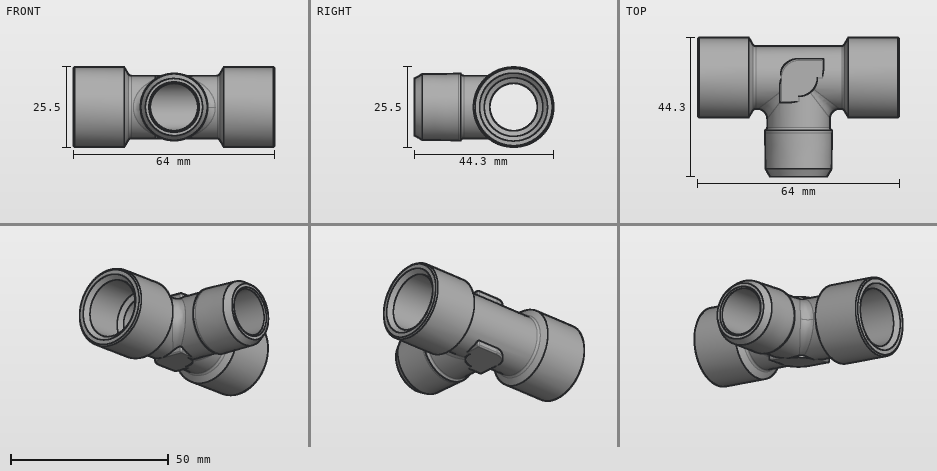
import cadquery as cq
import math

run_half_length = 32.0
tube_radius = 10.0
socket_radius = 12.75
socket_length = 16.2
shoulder_angle = 60.0
socket_edge_chamfer = 0.5

branch_length = 31.5
spigot_radius = 10.7
spigot_start = 16.8
spigot_taper_start = 17.6
spigot_taper = 1 / 64
spigot_tip_length = 2.5
spigot_tip_angle = 30.0

shoulder_root_radius = 1.0
crotch_radius = 3.0
hub_radius = 5.0

bore_radius = 7.5
bore_mouth_chamfer = 0.5
thread_bore_radius = 9.3
thread_bore_depth = 15.0
thread_mouth_chamfer = 1.5
thread_bore_cone_angle = 60.0

pad_radius = 6.0
pad_reach = 8.0
pad_edge_radius = 0.5
pad_depth = 4.0

position_tolerance = 0.01


def tan_degrees(angle):
    return math.tan(math.radians(angle))


def mirrored_about_middle(half):
    """Completes a symmetric run profile from the (x, radius) points of its +X half."""
    return [(-x, radius) for x, radius in reversed(half)] + half


def revolve_x(points):
    """Solid of revolution about X from (x, radius) points that start and end on the axis."""
    return cq.Workplane("XY").polyline(points).close().revolve(360, (0, 0, 0), (1, 0, 0))


def revolve_branch(points):
    """Solid of revolution about Y from (distance along -Y, radius) points."""
    outline = [(radius, -distance) for distance, radius in points]
    return cq.Workplane("XY").polyline(outline).close().revolve(360, (0, 0, 0), (0, 1, 0))


def circles_between(solid, axis, low, high):
    """Selects the circular edges of a solid of revolution between two positions along its axis."""
    edges = [
        edge for edge in solid.edges("%CIRCLE").vals()
        if low - position_tolerance < edge.Center().dot(axis) < high + position_tolerance
    ]
    return solid.newObject(edges)


def make_run():
    """Solid run: the tube with a socket at each end and rounded shoulder roots."""
    shoulder_end = run_half_length - socket_length
    shoulder_start = shoulder_end - (socket_radius - tube_radius) / tan_degrees(shoulder_angle)
    half = [
        (shoulder_start, tube_radius),
        (shoulder_end, socket_radius),
        (run_half_length - socket_edge_chamfer, socket_radius),
        (run_half_length, socket_radius - socket_edge_chamfer),
        (run_half_length, 0),
    ]
    run = revolve_x(mirrored_about_middle(half))
    roots = circles_between(run, cq.Vector(1, 0, 0), -shoulder_start, shoulder_start)
    return roots.fillet(shoulder_root_radius)


def make_branch():
    """Solid branch: the tube with a tapered spigot and a rounded shoulder root."""
    shoulder_start = spigot_start - (spigot_radius - tube_radius) / tan_degrees(shoulder_angle)
    tip_start = branch_length - spigot_tip_length
    tip_start_radius = spigot_radius - (tip_start - spigot_taper_start) * spigot_taper
    tip_end_radius = tip_start_radius - spigot_tip_length * tan_degrees(spigot_tip_angle)
    profile = [
        (0, 0),
        (0, tube_radius),
        (shoulder_start, tube_radius),
        (spigot_start, spigot_radius),
        (spigot_taper_start, spigot_radius),
        (tip_start, tip_start_radius),
        (branch_length, tip_end_radius),
        (branch_length, 0),
    ]
    branch = revolve_branch(profile)
    root = circles_between(branch, cq.Vector(0, 1, 0), -shoulder_start, -shoulder_start)
    return root.fillet(shoulder_root_radius)


def blend_crotches(tubes):
    """Joins the tubes through a central hub and rounds the seams between run and branch."""
    hub = cq.Workplane("XY").circle(hub_radius).extrude(tube_radius, both=True)
    joined = tubes.union(hub)
    return joined.edges("%ELLIPSE").fillet(crotch_radius)


def make_pads():
    """Matching pads above and below the crossing, trimmed to an arc between the +X and -Y tubes."""
    side = pad_radius + pad_reach
    quadrant = (
        cq.Workplane("XY")
        .rect(pad_reach, -pad_reach, centered=False)
        .extrude(tube_radius)
        .cut(cq.Workplane("XY").circle(pad_radius).extrude(tube_radius))
    )
    top_pad = (
        cq.Workplane("XY", origin=(-pad_radius, -pad_reach, tube_radius - pad_depth))
        .box(side, side, pad_depth, centered=False)
        .edges("|Z").edges("<X").edges(">Y").fillet(pad_radius)
        .edges("|Z").edges("<Y or >X").edges("<X or >Y").fillet(pad_edge_radius)
        .faces(">Z").edges().fillet(pad_edge_radius)
        .cut(quadrant)
    )
    return top_pad.union(top_pad.mirror("XY"))


def make_run_bore():
    """Through bore along X, opening into a chamfered thread bore in each socket."""
    thread_bore_end = run_half_length - thread_bore_depth
    cone_end = thread_bore_end - (thread_bore_radius - bore_radius) / tan_degrees(thread_bore_cone_angle)
    half = [
        (cone_end, bore_radius),
        (thread_bore_end, thread_bore_radius),
        (run_half_length - thread_mouth_chamfer, thread_bore_radius),
        (run_half_length, thread_bore_radius + thread_mouth_chamfer),
        (run_half_length, 0),
    ]
    return revolve_x(mirrored_about_middle(half))


def make_branch_bore():
    """Bore from the run axis out through the branch, with a chamfered mouth."""
    return revolve_branch([
        (0, 0),
        (0, bore_radius),
        (branch_length - bore_mouth_chamfer, bore_radius),
        (branch_length, bore_radius + bore_mouth_chamfer),
        (branch_length, 0),
    ])


tubes = make_run().union(make_branch())
body = blend_crotches(tubes).union(make_pads())
result = body.cut(make_run_bore()).cut(make_branch_bore())